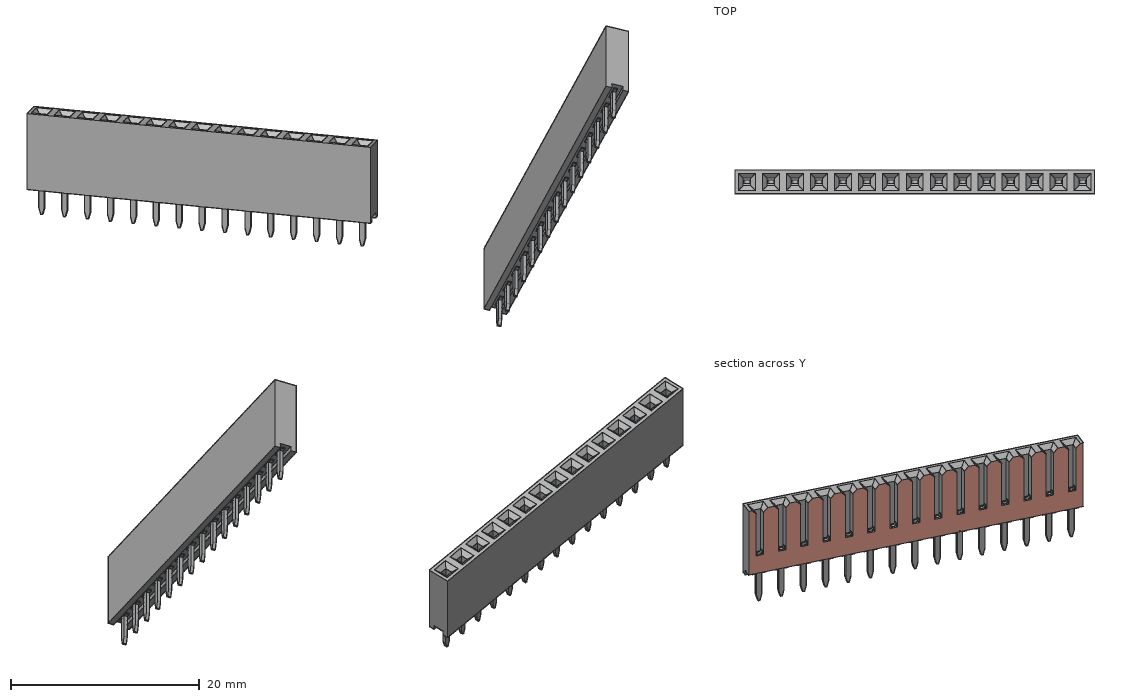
import cadquery as cq

LENGTH = 38.1
WIDTH = 2.55
BODY_HEIGHT = 8.5
CHANNEL_WIDTH = 1.25
CHANNEL_DEPTH = 0.55

POSITIONS = 15
PITCH = LENGTH / POSITIONS

MOUTH_SIZE = 1.8
HOLE_SIZE = 0.8
FUNNEL_DEPTH = 0.5
SOCKET_DEPTH = 5.7

TOTAL_HEIGHT = 11.5
PIN_WIDTH = 0.6
PIN_THICKNESS = 0.4
TIP_WIDTH = 0.2
TIP_LENGTH = 0.75
BLADE_WIDTH = 1.52
BLADE_DROP = 0.15
HOLLOW_WIDTH = 0.65

SOCKET_FLOOR = BODY_HEIGHT - SOCKET_DEPTH
BLADE_BOTTOM = CHANNEL_DEPTH - BLADE_DROP
BLADE_TOP = SOCKET_FLOOR + HOLLOW_WIDTH / 2
PIN_LENGTH = TOTAL_HEIGHT - BODY_HEIGHT
CENTERS = [(i - (POSITIONS - 1) / 2) * PITCH for i in range(POSITIONS)]


def make_housing():
    bar = cq.Workplane("XY").box(LENGTH, WIDTH, BODY_HEIGHT, centered=(True, True, False))
    channel = cq.Workplane("XY").box(LENGTH, CHANNEL_WIDTH, CHANNEL_DEPTH, centered=(True, True, False))
    return bar.cut(channel)


def make_socket():
    funnel = (
        cq.Workplane("XY", origin=(0, 0, BODY_HEIGHT))
        .rect(MOUTH_SIZE, MOUTH_SIZE)
        .workplane(offset=-FUNNEL_DEPTH)
        .rect(HOLE_SIZE, HOLE_SIZE)
        .loft()
    )
    hole = (
        cq.Workplane("XY", origin=(0, 0, SOCKET_FLOOR))
        .rect(HOLE_SIZE, HOLE_SIZE)
        .extrude(SOCKET_DEPTH - FUNNEL_DEPTH)
    )
    return funnel.union(hole)


def make_contact():
    """Blade and pin in one sheet, with a round hollow in the blade's top at the socket floor."""
    half_blade = BLADE_WIDTH / 2
    half_pin = PIN_WIDTH / 2
    half_tip = TIP_WIDTH / 2
    hollow_radius = HOLLOW_WIDTH / 2
    taper_start = TIP_LENGTH - PIN_LENGTH
    return (
        cq.Workplane("XZ")
        .moveTo(-hollow_radius, BLADE_TOP)
        .threePointArc((0, BLADE_TOP - hollow_radius), (hollow_radius, BLADE_TOP))
        .lineTo(half_blade, BLADE_TOP)
        .lineTo(half_blade, BLADE_BOTTOM)
        .lineTo(half_pin, BLADE_BOTTOM)
        .lineTo(half_pin, taper_start)
        .lineTo(half_tip, -PIN_LENGTH)
        .lineTo(-half_tip, -PIN_LENGTH)
        .lineTo(-half_pin, taper_start)
        .lineTo(-half_pin, BLADE_BOTTOM)
        .lineTo(-half_blade, BLADE_BOTTOM)
        .lineTo(-half_blade, BLADE_TOP)
        .close()
        .extrude(PIN_THICKNESS / 2, both=True)
    )


result = make_housing()
socket = make_socket()
contact = make_contact()
for x in CENTERS:
    result = result.cut(socket.translate((x, 0, 0)))
    result = result.union(contact.translate((x, 0, 0)))